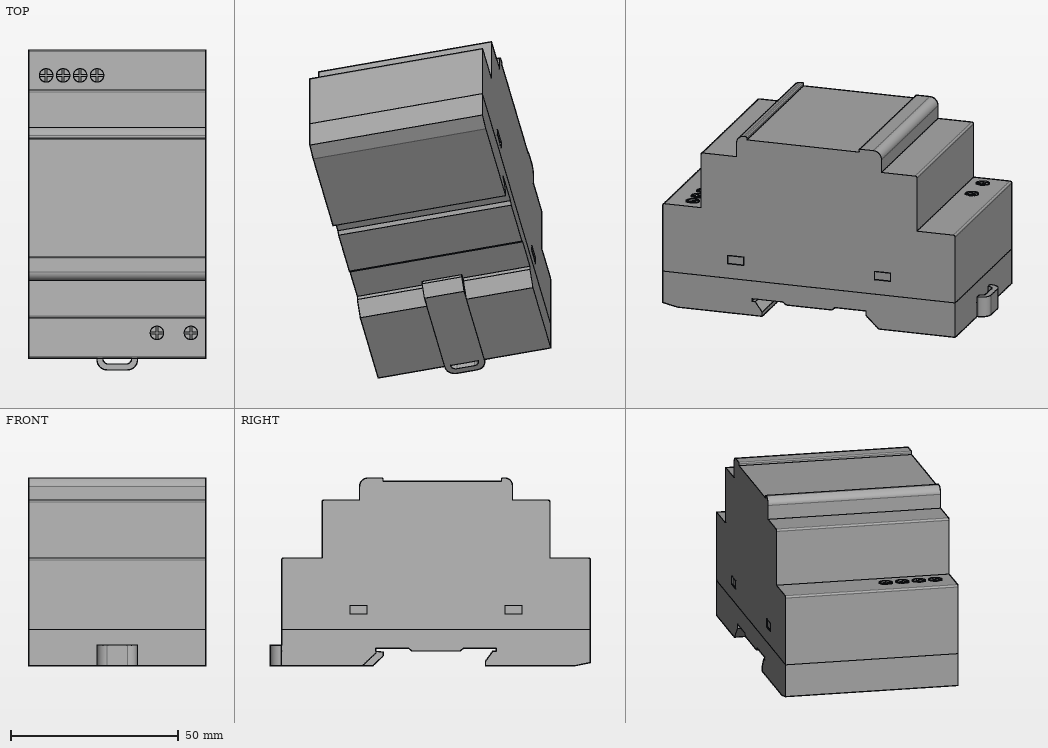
import cadquery as cq

WIDTH = 53.0
HEIGHT = 56.2
BASE_HALF = 46.2
SPLIT_Z = 10.9

LOWER_TIER_Z = 32.3
MIDDLE_HALF = 34.1
MIDDLE_TIER_Z = 49.6
CROWN_HALF = 22.9
TIER_EDGE_RADIUS = 0.6

FACE_DEPTH = 1.0
REAR_LIP_Y = 19.5
FRONT_LIP_Y = -15.8
REAR_LIP_RADIUS = 2.3
FRONT_LIP_RADIUS = 2.6
LIP_INNER_RADIUS = 0.4

SCREW_RADIUS = 2.0
SCREW_SINK = 0.4
SCREW_SLOT_WIDTH = 0.6
SCREW_SLOT_DEPTH = 0.3
REAR_SCREW_PITCH = 5.1
SCREW_ROW_Y = 38.5
REAR_SCREW_START_X = -21.3
REAR_SCREW_COUNT = 4
FRONT_SCREW_START_X = 11.9
FRONT_SCREW_PITCH = 2 * REAR_SCREW_PITCH
FRONT_SCREW_COUNT = 2

RECESS_LENGTH = 5.1
RECESS_HEIGHT = 2.6
RECESS_DEPTH = 0.4
RECESS_CENTER_Y = 23.2
RECESS_CENTER_Z = 16.8

RAIL_HALF = 18.0
RAIL_CEILING_Z = 5.3
RAIL_LEDGE_Z = 4.4
PAD_BOTTOM_HALF = 7.2
PAD_TOP_HALF = 8.2
FIXED_HOOK_TIP_Y = 14.75
FIXED_HOOK_TIP_Z = 1.3
FIXED_HOOK_ROOT_Y = 16.95
LATCH_SIDE_RAMP_Z = 3.8
LATCH_SIDE_RAMP_Y = -22.0
REAR_BEVEL_LENGTH = 4.7
REAR_BEVEL_HEIGHT = 1.0

LATCH_WIDTH = 12.2
LATCH_TIP_Y = -15.7
LATCH_TIP_TOP_Z = 4.1
LATCH_TIP_BOTTOM_Z = 3.1
LATCH_HEEL_Y = -18.9
LOOP_REACH = 3.4
LOOP_HEIGHT = 6.2
LOOP_WALL = 1.8
LOOP_RADIUS = 3.1
LOOP_INNER_RADIUS = 1.5


def extrude_across(points, width):
    """Extrude a (Y, Z) outline along X, centred on X = 0."""
    return cq.Workplane("YZ").polyline(points).close().extrude(width / 2, both=True)


def round_edge(body, y, z, radius):
    """Round the edge that runs along X through (y, z)."""
    margin = 0.05
    corner = cq.selectors.BoxSelector(
        (-WIDTH, y - margin, z - margin), (WIDTH, y + margin, z + margin)
    )
    return body.edges("|X").edges(corner).fillet(radius)


def make_housing_shell():
    face_z = HEIGHT - FACE_DEPTH
    shell = extrude_across(
        [
            (-BASE_HALF, SPLIT_Z),
            (-BASE_HALF, LOWER_TIER_Z),
            (-MIDDLE_HALF, LOWER_TIER_Z),
            (-MIDDLE_HALF, MIDDLE_TIER_Z),
            (-CROWN_HALF, MIDDLE_TIER_Z),
            (-CROWN_HALF, HEIGHT),
            (FRONT_LIP_Y, HEIGHT),
            (FRONT_LIP_Y, face_z),
            (REAR_LIP_Y, face_z),
            (REAR_LIP_Y, HEIGHT),
            (CROWN_HALF, HEIGHT),
            (CROWN_HALF, MIDDLE_TIER_Z),
            (MIDDLE_HALF, MIDDLE_TIER_Z),
            (MIDDLE_HALF, LOWER_TIER_Z),
            (BASE_HALF, LOWER_TIER_Z),
            (BASE_HALF, SPLIT_Z),
        ],
        WIDTH,
    )
    for side in (-1, 1):
        shell = round_edge(shell, side * BASE_HALF, LOWER_TIER_Z, TIER_EDGE_RADIUS)
        shell = round_edge(shell, side * MIDDLE_HALF, MIDDLE_TIER_Z, TIER_EDGE_RADIUS)
    shell = round_edge(shell, CROWN_HALF, HEIGHT, REAR_LIP_RADIUS)
    shell = round_edge(shell, -CROWN_HALF, HEIGHT, FRONT_LIP_RADIUS)
    for lip_y in (REAR_LIP_Y, FRONT_LIP_Y):
        shell = round_edge(shell, lip_y, HEIGHT, LIP_INNER_RADIUS)
    return shell


def screw_positions():
    rear = [
        (REAR_SCREW_START_X + i * REAR_SCREW_PITCH, SCREW_ROW_Y) for i in range(REAR_SCREW_COUNT)
    ]
    front = [
        (FRONT_SCREW_START_X + i * FRONT_SCREW_PITCH, -SCREW_ROW_Y) for i in range(FRONT_SCREW_COUNT)
    ]
    return rear + front


def make_screw_cutter():
    """Shallow disc with a cross below it, its top face at Z = 0."""
    depth = SCREW_SINK + SCREW_SLOT_DEPTH
    disc = cq.Workplane("XY").circle(SCREW_RADIUS).extrude(-SCREW_SINK)
    column = cq.Workplane("XY").circle(SCREW_RADIUS).extrude(-depth)
    bar = cq.Workplane("XY").rect(2 * SCREW_RADIUS, SCREW_SLOT_WIDTH).extrude(-depth)
    cross = bar.union(bar.rotate((0, 0, 0), (0, 0, 1), 90)).intersect(column)
    return disc.union(cross)


def make_side_recess(side_x, center_y):
    return cq.Workplane("XY").box(2 * RECESS_DEPTH, RECESS_LENGTH, RECESS_HEIGHT).translate(
        (side_x, center_y, RECESS_CENTER_Z)
    )


def make_housing():
    body = make_housing_shell()
    screw_cutter = make_screw_cutter()
    for x, y in screw_positions():
        body = body.cut(screw_cutter.translate((x, y, LOWER_TIER_Z)))
    for side_x in (-WIDTH / 2, WIDTH / 2):
        for center_y in (-RECESS_CENTER_Y, RECESS_CENTER_Y):
            body = body.cut(make_side_recess(side_x, center_y))
    return body


def make_latch():
    bar = extrude_across(
        [
            (-BASE_HALF, 0),
            (LATCH_HEEL_Y, 0),
            (LATCH_TIP_Y, LATCH_TIP_BOTTOM_Z),
            (LATCH_TIP_Y, LATCH_TIP_TOP_Z),
            (-RAIL_HALF, RAIL_LEDGE_Z),
            (-BASE_HALF, RAIL_LEDGE_Z),
        ],
        LATCH_WIDTH,
    )
    loop_center_y = -BASE_HALF - LOOP_REACH / 2
    loop = (
        cq.Workplane("XY")
        .center(0, loop_center_y)
        .rect(LATCH_WIDTH, LOOP_REACH)
        .extrude(LOOP_HEIGHT)
        .edges("|Z and <Y")
        .fillet(LOOP_RADIUS)
    )
    opening = (
        cq.Workplane("XY")
        .center(0, loop_center_y + LOOP_WALL / 2)
        .rect(LATCH_WIDTH - 2 * LOOP_WALL, LOOP_REACH - LOOP_WALL)
        .extrude(LOOP_HEIGHT)
        .edges("|Z and <Y")
        .fillet(LOOP_INNER_RADIUS)
    )
    return bar.union(loop.cut(opening))


def make_base(latch):
    body = extrude_across(
        [
            (-BASE_HALF, SPLIT_Z),
            (-BASE_HALF, 0),
            (LATCH_SIDE_RAMP_Y, 0),
            (-RAIL_HALF, LATCH_SIDE_RAMP_Z),
            (-RAIL_HALF, RAIL_CEILING_Z),
            (-PAD_TOP_HALF, RAIL_CEILING_Z),
            (-PAD_BOTTOM_HALF, RAIL_LEDGE_Z),
            (PAD_BOTTOM_HALF, RAIL_LEDGE_Z),
            (PAD_TOP_HALF, RAIL_CEILING_Z),
            (RAIL_HALF, RAIL_CEILING_Z),
            (RAIL_HALF, RAIL_LEDGE_Z),
            (FIXED_HOOK_ROOT_Y, RAIL_LEDGE_Z),
            (FIXED_HOOK_TIP_Y, FIXED_HOOK_TIP_Z),
            (FIXED_HOOK_TIP_Y, 0),
            (BASE_HALF - REAR_BEVEL_LENGTH, 0),
            (BASE_HALF, REAR_BEVEL_HEIGHT),
            (BASE_HALF, SPLIT_Z),
        ],
        WIDTH,
    )
    return body.cut(latch)


housing = make_housing()
latch = make_latch()
base = make_base(latch)

result = cq.Compound.makeCompound([housing.val(), base.val(), latch.val()])